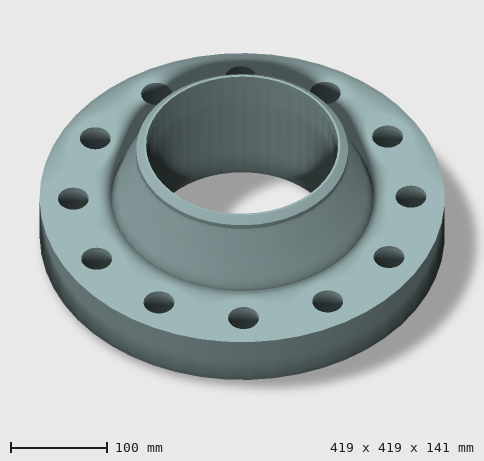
import cadquery as cq

flange_diameter = 419.0
plate_thickness = 55.7
total_height = 141.0

raised_face_diameter = 301.5
raised_face_height = 8.0

bore_diameter = 198.5
hub_base_diameter = 272.5
hub_foot_diameter = 276.5
hub_foot_height = 1.0
neck_diameter = 219.0
neck_length = 5.0
bevel_height = 6.5
neck_end_diameter = 203.5

bolt_count = 12
bolt_circle_diameter = 349.0
bolt_hole_diameter = 32.0

plate_bottom = raised_face_height
plate_top = plate_bottom + plate_thickness
hub_base = plate_top + hub_foot_height
bevel_start = total_height - bevel_height
neck_start = bevel_start - neck_length


def flange_body():
    """Revolve the half section of the flange about Z."""
    half_section = [
        (bore_diameter / 2, 0),
        (raised_face_diameter / 2, 0),
        (raised_face_diameter / 2, plate_bottom),
        (flange_diameter / 2, plate_bottom),
        (flange_diameter / 2, plate_top),
        (hub_foot_diameter / 2, plate_top),
        (hub_base_diameter / 2, hub_base),
        (neck_diameter / 2, neck_start),
        (neck_diameter / 2, bevel_start),
        (neck_end_diameter / 2, total_height),
        (bore_diameter / 2, total_height),
    ]
    profile = cq.Workplane("XZ").polyline(half_section).close()
    return profile.revolve(360, (0, 0), (0, 1))


def bolt_holes():
    """Cylinders through the plate, evenly spaced on the bolt circle."""
    return (
        cq.Workplane("XY", origin=(0, 0, plate_bottom))
        .polarArray(bolt_circle_diameter / 2, 0, 360, bolt_count)
        .circle(bolt_hole_diameter / 2)
        .extrude(plate_thickness)
    )


result = flange_body().cut(bolt_holes())